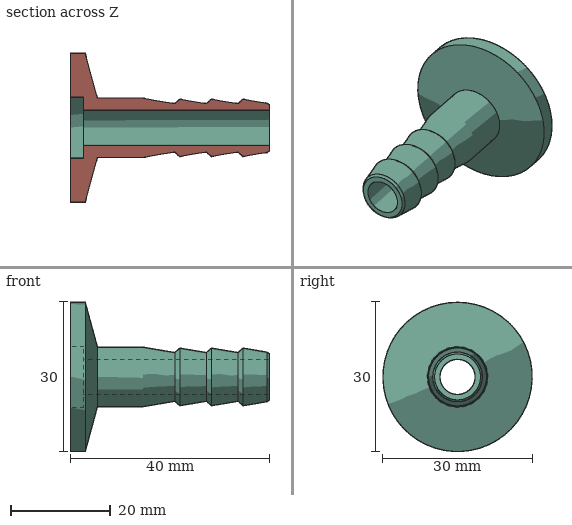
import cadquery as cq

total_length = 40.0
bore_diameter = 7.0

flange_diameter = 30.0
flange_thickness = 3.0
flange_cone_length = 2.45
recess_diameter = 12.2
recess_depth = 2.6

neck_diameter = 12.0
barb_pitch = 6.35
barb_count = 3
barb_crest_diameter = 11.62
barb_root_diameter = 9.82
barb_rise_length = 1.0
tip_chamfer_length = 0.5
tip_diameter = 9.2
tip_edge_diameter = 9.98

neck_start = flange_thickness + flange_cone_length
first_barb_start = total_length - barb_count * barb_pitch
neck_end = first_barb_start - barb_pitch


def make_body():
    """Revolve the solid outer profile (axial position, radius) about the X axis."""
    profile = [
        (0, 0),
        (0, flange_diameter / 2),
        (flange_thickness, flange_diameter / 2),
        (neck_start, neck_diameter / 2),
        (neck_end, neck_diameter / 2),
    ]
    for index in range(barb_count):
        root_position = first_barb_start + index * barb_pitch
        profile.append((root_position, barb_root_diameter / 2))
        profile.append((root_position + barb_rise_length, barb_crest_diameter / 2))
    profile += [
        (total_length - tip_chamfer_length, tip_edge_diameter / 2),
        (total_length, tip_diameter / 2),
        (total_length, 0),
    ]
    return cq.Workplane("XZ").polyline(profile).close().revolve(360, (0, 0, 0), (1, 0, 0))


def make_axial_hole(diameter, depth):
    """Cylinder along X, starting at the flange face."""
    return cq.Workplane("YZ").circle(diameter / 2).extrude(depth)


through_bore = make_axial_hole(bore_diameter, total_length)
seal_recess = make_axial_hole(recess_diameter, recess_depth)

result = make_body().cut(through_bore).cut(seal_recess)